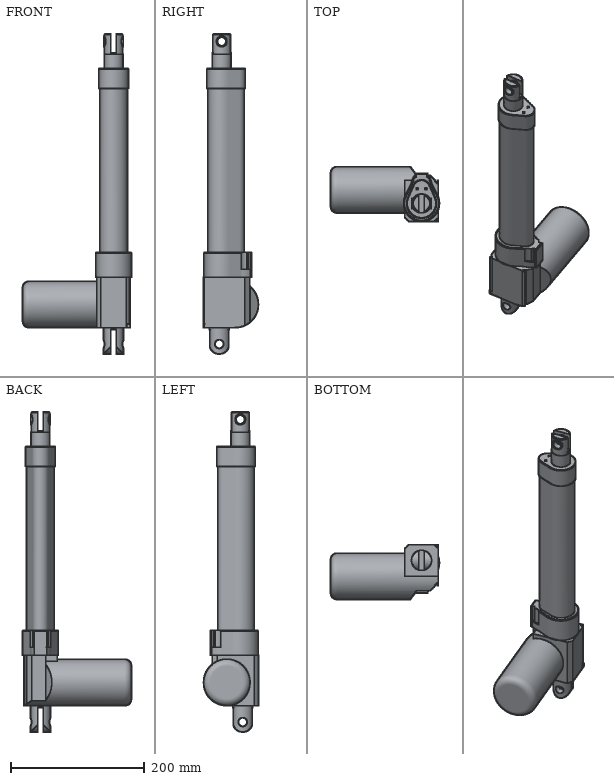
import cadquery as cq
import math

OVERALL_LENGTH = 163.51
OVERALL_WIDTH = 82.55
OVERALL_HEIGHT = 480.0

BLOCK_BOTTOM = 39.3
BLOCK_TOP = 115.5
LOWER_COLLAR_TOP = 153.0
UPPER_COLLAR_BOTTOM = 398.0
UPPER_COLLAR_TOP = 428.5
ROD_SHOULDER = 449.5

BLOCK_HALF_WIDTH = 25.4
BLOCK_FRONT = -27.3
BLOCK_DEPTH = 62.0
BLOCK_BACK = BLOCK_FRONT + BLOCK_DEPTH
BLOCK_CHAMFER = 6.35
BULGE_BACK = 42.2
BULGE_LEFT = -7.6
BULGE_RIGHT = 20.5

PLATE_THICKNESS = 1.5
PLATE_FRONT_SETBACK = 1.5
PIN_DIAMETER = 6.0

MOTOR_DIAMETER = 69.85
MOTOR_RADIUS = MOTOR_DIAMETER / 2
MOTOR_FILLET = 10.0
MOTOR_CLEARANCE = 0.3
MOTOR_BEVEL_START = -17.0
MOTOR_BEVEL_SLOPE = 0.75
MOTOR_Y = BLOCK_FRONT + OVERALL_WIDTH - MOTOR_RADIUS
MOTOR_Z = BLOCK_BOTTOM + MOTOR_RADIUS + MOTOR_CLEARANCE

LOWER_COLLAR_RADIUS = 26.99
COLLAR_SIDE_ANGLE = math.radians(26.4)
TAIL_START = 29.5
TAIL_BACK = 45.4
TAIL_FLANGE_START = 43.0
TAIL_FLANGE_HALF_WIDTH = 9.4
TAIL_NECK_START = 39.6
TAIL_NECK_HALF_WIDTH = 7.7
TAIL_ROOT_END = 37.6
TAIL_ROOT_HALF_WIDTH = 11.4
TAIL_ROOT_BOW = 1.2
TAIL_LEDGE_HEIGHT = 11.4
TAIL_LEDGE_BOW = 1.0
LOWER_COLLAR_CHAMFER = 1.4

TUBE_RADIUS = 21.0
TUBE_TIP_RADIUS = 12.0
TUBE_TIP_Y = 22.0
UPPER_COLLAR_WALL = 1.5
UPPER_COLLAR_CHAMFER = 1.0
SCREW_HOLE_DIAMETER = 3.25
SCREW_HOLE_X = 6.6
SCREW_HOLE_DEPTH = 10.0

ROD_DIAMETER = 28.57
FORK_DIAMETER = 28.07
FORK_EDGE_CHAMFER = 1.5
FORK_HOLE_Z = 468.8
FORK_BOSS_DIAMETER = 15.88
FORK_BOSS_SPAN = 29.2
FORK_SLOT_BOTTOM = 452.2

LUG_DIAMETER = 30.16
LUG_RADIUS = LUG_DIAMETER / 2
LUG_Y = -3.6
LUG_SLOT_TOP = 36.8

CLEVIS_HOLE_DIAMETER = 12.7
SLOT_WIDTH = 7.94


def prism(outline, bottom, top):
    """Extrude a closed XY outline between two levels."""
    return outline.extrude(top - bottom).translate((0, 0, bottom))


def cylinder_z(diameter, bottom, top, y=0):
    return prism(cq.Workplane("XY").center(0, y).circle(diameter / 2), bottom, top)


def cylinder_x(diameter, left, right, y, z):
    return cq.Workplane("YZ", origin=(left, 0, 0)).center(y, z).circle(diameter / 2).extrude(right - left)


def block_between(x_range, y_range, z_range):
    sizes = [high - low for low, high in (x_range, y_range, z_range)]
    corner = (x_range[0], y_range[0], z_range[0])
    return cq.Workplane("XY").box(*sizes, centered=False).translate(corner)


def teardrop(radius, tip_radius, tip_y):
    """Two circles of different radius joined by their common tangents."""
    tangent_angle = math.asin((radius - tip_radius) / tip_y)
    cosine = math.cos(tangent_angle)
    sine = math.sin(tangent_angle)
    side = (radius * cosine, radius * sine)
    tip_side = (tip_radius * cosine, tip_y + tip_radius * sine)
    return (
        cq.Workplane("XY")
        .moveTo(-side[0], side[1])
        .threePointArc((0, -radius), side)
        .lineTo(*tip_side)
        .threePointArc((0, tip_y + tip_radius), (-tip_side[0], tip_side[1]))
        .close()
    )


def make_block():
    """Gearbox block, with its lower back edge rounded around the motor axis."""
    block = block_between(
        (-BLOCK_HALF_WIDTH, BLOCK_HALF_WIDTH), (BLOCK_FRONT, BLOCK_BACK), (BLOCK_BOTTOM, BLOCK_TOP)
    )
    block = block.edges("|Z and (<Y or >X)").chamfer(BLOCK_CHAMFER)
    plate = block_between(
        (BLOCK_HALF_WIDTH - PLATE_THICKNESS, BLOCK_HALF_WIDTH),
        (BLOCK_FRONT + PLATE_FRONT_SETBACK, BLOCK_BACK),
        (BLOCK_BOTTOM, BLOCK_TOP),
    )
    bulge_slope = BULGE_BACK - BLOCK_BACK
    bulge_outline = cq.Workplane("XY").polyline(
        [
            (BULGE_LEFT, 0),
            (BULGE_RIGHT, 0),
            (BULGE_RIGHT, BLOCK_BACK),
            (BULGE_RIGHT - bulge_slope, BULGE_BACK),
            (BULGE_LEFT, BULGE_BACK),
        ]
    ).close()
    block = block.union(plate).union(prism(bulge_outline, BLOCK_BOTTOM, BLOCK_TOP))

    lower_back = block_between(
        (-BLOCK_HALF_WIDTH, BLOCK_HALF_WIDTH), (MOTOR_Y, BULGE_BACK), (BLOCK_BOTTOM, MOTOR_Z)
    )
    around_motor = cylinder_x(MOTOR_DIAMETER, -BLOCK_HALF_WIDTH, BLOCK_HALF_WIDTH, MOTOR_Y, MOTOR_Z)
    return block.cut(lower_back.cut(around_motor))


def make_pin():
    """Pin along Y at the lower +X edge of the block."""
    pin_radius = PIN_DIAMETER / 2
    pin_x = BLOCK_HALF_WIDTH - pin_radius
    pin_z = BLOCK_BOTTOM + pin_radius
    pin = cq.Workplane("XZ", origin=(pin_x, MOTOR_Y, pin_z)).circle(pin_radius)
    return pin.extrude(MOTOR_Y - BLOCK_FRONT)


def make_motor():
    """Round motor can, domed at its free end and bevelled at the back where it meets the block."""
    left = LOWER_COLLAR_RADIUS - OVERALL_LENGTH
    motor = cylinder_x(MOTOR_DIAMETER, left, BULGE_LEFT, MOTOR_Y, MOTOR_Z)
    motor = motor.faces("<X").edges().fillet(MOTOR_FILLET)
    back = MOTOR_Y + MOTOR_RADIUS
    bevel_end_y = back - (BULGE_LEFT - MOTOR_BEVEL_START) / MOTOR_BEVEL_SLOPE
    bevel = cq.Workplane("XY").polyline(
        [(MOTOR_BEVEL_START, back), (BULGE_LEFT, bevel_end_y), (BULGE_LEFT, back)]
    ).close()
    return motor.cut(prism(bevel, MOTOR_Z - MOTOR_RADIUS, MOTOR_Z + MOTOR_RADIUS))


def bowed_midpoint(start, end, bow):
    """Middle of a chord, moved out along X by the bow of its arc."""
    return ((start[0] + end[0]) / 2 + bow, (start[1] + end[1]) / 2)


def mirrored(point):
    return (-point[0], point[1])


def make_lower_collar():
    """Round collar whose straight sides lead into a tail, with a side pocket above each ledge."""
    side = (
        LOWER_COLLAR_RADIUS * math.cos(COLLAR_SIDE_ANGLE),
        LOWER_COLLAR_RADIUS * math.sin(COLLAR_SIDE_ANGLE),
    )
    shoulder = (side[0] - (TAIL_START - side[1]) * math.tan(COLLAR_SIDE_ANGLE), TAIL_START)
    flange_start = (TAIL_FLANGE_HALF_WIDTH, TAIL_FLANGE_START)
    flange_end = (TAIL_FLANGE_HALF_WIDTH, TAIL_BACK)
    ledge_middle = bowed_midpoint(shoulder, flange_start, TAIL_LEDGE_BOW)
    outline = (
        cq.Workplane("XY")
        .moveTo(*mirrored(side))
        .threePointArc((0, -LOWER_COLLAR_RADIUS), side)
        .lineTo(*shoulder)
        .threePointArc(ledge_middle, flange_start)
        .lineTo(*flange_end)
        .lineTo(*mirrored(flange_end))
        .lineTo(*mirrored(flange_start))
        .threePointArc(mirrored(ledge_middle), mirrored(shoulder))
        .close()
    )
    collar = prism(outline, BLOCK_TOP, LOWER_COLLAR_TOP)
    collar = collar.faces(">Z").edges().chamfer(LOWER_COLLAR_CHAMFER)

    root_end = (TAIL_ROOT_HALF_WIDTH, TAIL_ROOT_END)
    pocket_outline = (
        cq.Workplane("XY")
        .moveTo(*shoulder)
        .threePointArc(bowed_midpoint(shoulder, root_end, -TAIL_ROOT_BOW), root_end)
        .lineTo(TAIL_NECK_HALF_WIDTH, TAIL_NECK_START)
        .lineTo(TAIL_NECK_HALF_WIDTH, TAIL_FLANGE_START)
        .lineTo(shoulder[0], TAIL_FLANGE_START)
        .close()
    )
    pocket = prism(pocket_outline, BLOCK_TOP + TAIL_LEDGE_HEIGHT, LOWER_COLLAR_TOP)
    return collar.cut(pocket).cut(pocket.mirror("YZ"))


def make_tube():
    return prism(teardrop(TUBE_RADIUS, TUBE_TIP_RADIUS, TUBE_TIP_Y), BLOCK_TOP, UPPER_COLLAR_TOP)


def make_upper_collar():
    outline = teardrop(
        TUBE_RADIUS + UPPER_COLLAR_WALL, TUBE_TIP_RADIUS + UPPER_COLLAR_WALL, TUBE_TIP_Y
    )
    collar = prism(outline, UPPER_COLLAR_BOTTOM, UPPER_COLLAR_TOP)
    return collar.faces("<Z or >Z").edges().chamfer(UPPER_COLLAR_CHAMFER)


def make_screw_holes():
    points = [(-SCREW_HOLE_X, TUBE_TIP_Y), (SCREW_HOLE_X, TUBE_TIP_Y)]
    holes = cq.Workplane("XY").pushPoints(points).circle(SCREW_HOLE_DIAMETER / 2)
    return prism(holes, UPPER_COLLAR_TOP - SCREW_HOLE_DEPTH, UPPER_COLLAR_TOP)


def clevis_cut(radius, y, slot_bottom, slot_top, hole_z):
    """Slot along Y and cross hole along X that turn a round end into a fork."""
    half_slot = SLOT_WIDTH / 2
    slot = block_between((-half_slot, half_slot), (y - radius, y + radius), (slot_bottom, slot_top))
    return slot.union(cylinder_x(CLEVIS_HOLE_DIAMETER, -radius, radius, y, hole_z))


def make_rod():
    rod = cylinder_z(ROD_DIAMETER, UPPER_COLLAR_TOP, ROD_SHOULDER)
    fork = cylinder_z(FORK_DIAMETER, ROD_SHOULDER, OVERALL_HEIGHT)
    fork = fork.faces(">Z").edges().chamfer(FORK_EDGE_CHAMFER)
    boss = cylinder_x(FORK_BOSS_DIAMETER, -FORK_BOSS_SPAN / 2, FORK_BOSS_SPAN / 2, 0, FORK_HOLE_Z)
    cut = clevis_cut(FORK_BOSS_SPAN / 2, 0, FORK_SLOT_BOTTOM, OVERALL_HEIGHT, FORK_HOLE_Z)
    return rod.union(fork).union(boss).cut(cut)


def make_lug():
    """Rear fork: a round post with its end rounded about the cross hole."""
    hole_z = LUG_RADIUS
    post = cylinder_z(LUG_DIAMETER, hole_z, BLOCK_BOTTOM, LUG_Y)
    rounded_end = cylinder_x(LUG_DIAMETER, -LUG_RADIUS, LUG_RADIUS, LUG_Y, hole_z)
    rounded_end = rounded_end.intersect(cylinder_z(LUG_DIAMETER, 0, BLOCK_BOTTOM, LUG_Y))
    return post.union(rounded_end).cut(clevis_cut(LUG_RADIUS, LUG_Y, 0, LUG_SLOT_TOP, hole_z))


result = (
    make_block()
    .union(make_pin())
    .union(make_motor())
    .union(make_lower_collar())
    .union(make_tube())
    .union(make_upper_collar())
    .cut(make_screw_holes())
    .union(make_rod())
    .union(make_lug())
)